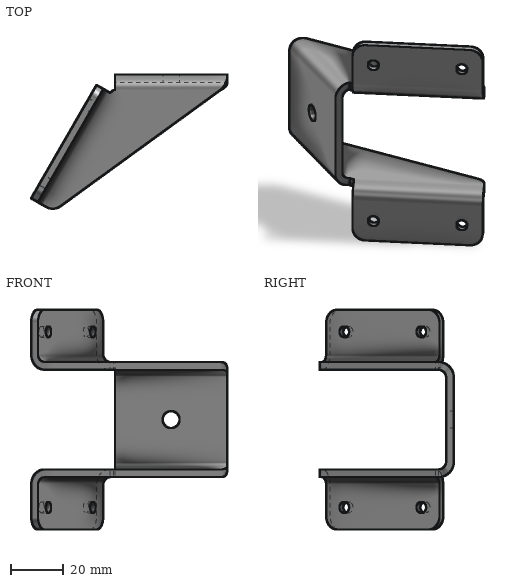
import cadquery as cq
import math

thickness = 3.0
bend_inner = 2.9
bend_outer = bend_inner + thickness

plate_length = 43.0
bracket_width = 44.0
half_width = bracket_width / 2
web_inner = half_width - thickness
plate_hole_diameter = 6.4

overall_height = 84.0
flange_length = 50.0
flange_angle = 60.0
flange_top_x = -7.0
flange_top_y = -4.0
flange_corner_radius = 5.0
flange_hole_diameter = 4.2
flange_hole_spacing = 33.9
flange_hole_edge_distance = 8.5

nose_radius = 5.0
web_edge_angle = 36.0
corner_setback = 2.6
corner_sweep = 62.0
notch_bevel = 0.5

along = cq.Vector(math.cos(math.radians(flange_angle)), math.sin(math.radians(flange_angle)), 0)
inward = cq.Vector(along.y, -along.x, 0)
flange_top = cq.Vector(flange_top_x, flange_top_y, 0)
flange_plane = cq.Plane(origin=flange_top, xDir=inward, normal=along * -1)
face_plane = cq.Plane(origin=flange_top - along * (flange_length / 2), xDir=along, normal=inward)


def bend_point(radius, angle):
    """Point (Y, Z) on the plate's upper bend; 0 degrees is at the web, 90 at the plate."""
    turn = math.radians(angle)
    y = -bend_outer + radius * math.sin(turn)
    z = half_width - bend_outer + radius * math.cos(turn)
    return y, z


def make_plate():
    """Back plate with both bends leading into the webs."""
    diagonal = 45
    profile = (
        cq.Workplane("YZ")
        .moveTo(*bend_point(bend_outer, 0))
        .threePointArc(bend_point(bend_outer, diagonal), bend_point(bend_outer, 90))
        .lineTo(0, 0)
        .lineTo(-thickness, 0)
        .lineTo(*bend_point(bend_inner, 90))
        .threePointArc(bend_point(bend_inner, diagonal), bend_point(bend_inner, 0))
        .close()
    )
    half = profile.extrude(plate_length)
    hole = (
        cq.Workplane("XZ")
        .center(plate_length / 2, 0)
        .circle(plate_hole_diameter / 2)
        .extrude(thickness)
    )
    return half.union(half.mirror("XY")).cut(hole)


def make_corner_cutter():
    """Rounding of the plate's right-hand corner, cut square to the sheet around the bend."""
    clearance = 0.8
    steps = 6
    start_slope = 90 - web_edge_angle
    arc_radius = corner_setback / (1 - math.cos(math.radians(start_slope)))
    sections = []
    for step in range(steps + 1):
        fraction = step / steps
        across = arc_radius * math.sin(math.radians(start_slope)) * (1 - fraction)
        x = plate_length - arc_radius + math.sqrt(arc_radius**2 - across**2)
        angle = corner_sweep * fraction
        inner_y, inner_z = bend_point(bend_inner - clearance, angle)
        outer_y, outer_z = bend_point(bend_outer + clearance, angle)
        end_x = plate_length + clearance
        corners = [
            cq.Vector(x, inner_y, inner_z),
            cq.Vector(end_x, inner_y, inner_z),
            cq.Vector(end_x, outer_y, outer_z),
            cq.Vector(x, outer_y, outer_z),
        ]
        sections.append(cq.Wire.makePolygon(corners, close=True))
    return cq.Workplane(cq.Solid.makeLoft(sections))


def make_web():
    """Upper side web: flat sheet between the flange bend and the plate bend."""
    bend_top = flange_top + inward * bend_outer
    bend_bottom = bend_top - along * flange_length
    edge_end = cq.Vector(plate_length - corner_setback, -bend_outer, 0)

    edge = cq.Vector(math.cos(math.radians(web_edge_angle)), math.sin(math.radians(web_edge_angle)), 0)
    to_end = edge_end - bend_bottom
    reach = to_end.cross(edge).z / inward.cross(edge).z
    nose = bend_bottom + inward * reach

    nose_turn = math.radians(web_edge_angle + 90 - flange_angle)
    tangent = nose_radius * math.tan(nose_turn / 2)
    arc_start = nose - inward * tangent
    arc_end = nose + edge * tangent
    centre = arc_start + along * nose_radius
    arc_middle = centre + (nose - centre).normalized() * nose_radius

    return (
        cq.Workplane("XY", origin=(0, 0, web_inner))
        .moveTo(bend_top.x, bend_top.y)
        .lineTo(bend_bottom.x, bend_bottom.y)
        .lineTo(arc_start.x, arc_start.y)
        .threePointArc((arc_middle.x, arc_middle.y), (arc_end.x, arc_end.y))
        .lineTo(edge_end.x, edge_end.y)
        .lineTo(-notch_bevel, -bend_outer)
        .close()
        .extrude(thickness)
    )


def make_flange():
    """Upper mounting flange with its bend, rounded outer corners and two holes."""
    top = overall_height / 2
    bend_z = web_inner + bend_outer
    diagonal = math.sqrt(0.5)
    outer_middle = (bend_outer * (1 - diagonal), bend_z - bend_outer * diagonal)
    inner_middle = (bend_outer - bend_inner * diagonal, bend_z - bend_inner * diagonal)
    strip = (
        cq.Workplane(flange_plane)
        .moveTo(0, top)
        .lineTo(0, bend_z)
        .threePointArc(outer_middle, (bend_outer, web_inner))
        .lineTo(bend_outer, half_width)
        .threePointArc(inner_middle, (thickness, bend_z))
        .lineTo(thickness, top)
        .close()
        .extrude(flange_length)
    )
    strip = strip.faces(">Z").edges(cq.selectors.ParallelDirSelector(inward)).fillet(flange_corner_radius)
    hole_z = top - flange_hole_edge_distance
    hole_points = [(side * flange_hole_spacing / 2, hole_z) for side in (-1, 1)]
    holes = (
        cq.Workplane(face_plane)
        .pushPoints(hole_points)
        .circle(flange_hole_diameter / 2)
        .extrude(thickness)
    )
    return strip.cut(holes)


corner_cutter = make_corner_cutter()
plate = make_plate().cut(corner_cutter).cut(corner_cutter.mirror("XY"))
upper_side = make_web().union(make_flange())
result = plate.union(upper_side).union(upper_side.mirror("XY"))